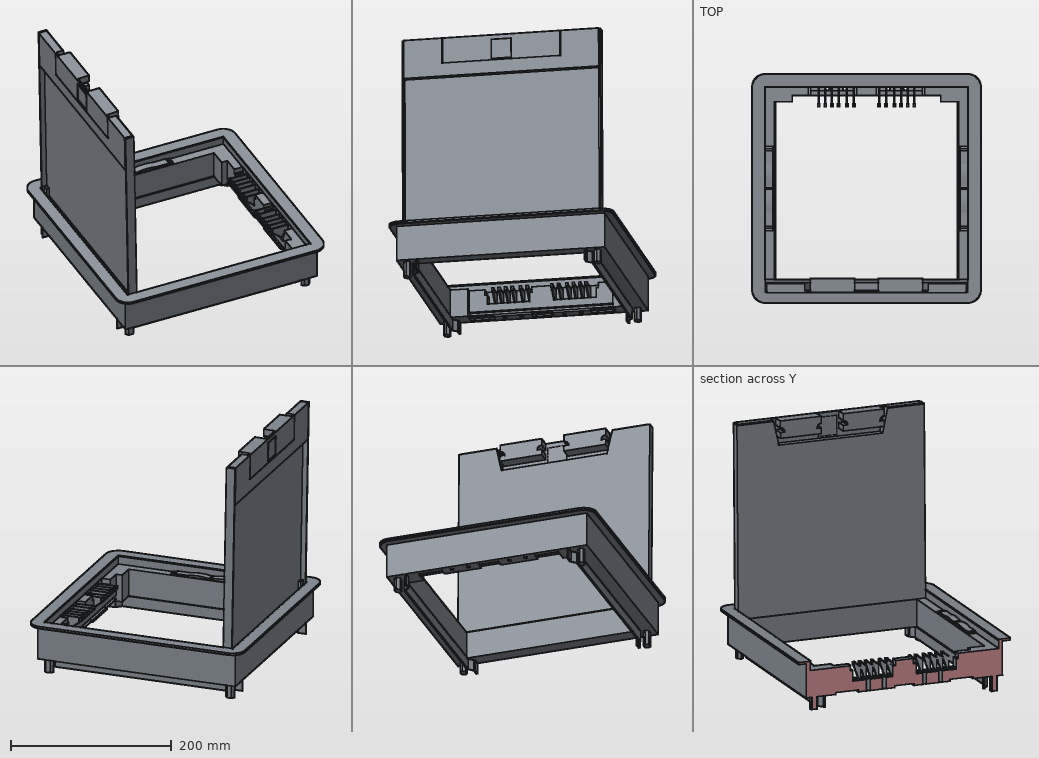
import cadquery as cq
import math

flange_width = 285.0
flange_height = 3.5
flange_bevel = 1.0
opening_half = 126.0
flange_radius = flange_width / 2 - opening_half
box_half = 132.0
box_bottom = -47.5
opening_lip = 1.5
wall_relief = 0.5

ledge_top = -12.0
ledge_side = 114.2
ledge_front = -113.5
ledge_back = 115.5
corner_block_back = 107.5
corner_block_side = 92.0
groove_top = -40.2
groove_bottom = -44.8
groove_depth = 4.5
lip_bottom = -45.0
drop_inner = 13.0
drop_outer = 61.5

pocket_inner = 12.3
pocket_outer = 72.2
pocket_step_width = 3.0
pocket_step_z = -18.7
pocket_floor = -30.7
pocket_back = 126.8
channel_front = 121.3
channel_depth = 1.5
hole_diameter = 4.5
hole_y = 124.0
hole_places = (27.0, 48.5)
fin_places = (15.7, 24.3, 34.7, 43.0, 51.3, 59.3)
fin_thickness = 1.2
fin_top = -14.5
fin_tip_y = 101.3
fin_tip_height = 3.7
fin_root_y = 116.7
tip_width = 2.8
tip_length = 4.0

pad_inner = 116.5
pad_height = 1.8
pad_half_length = 52.5
pad_ramp_end = 49.5
pad_ramp_start = 46.7
pad_end_height = 1.0
arch_near = 4.0
arch_far = 29.8
arch_rise = 1.2
slit_width = 1.5
slit_depth = 1.0

skirt_outer = 114.8
skirt_thickness = 1.8
skirt_bottom = -62.0
skirt_jog = 6.8
skirt_jog_start = 115.5
post_place = 121.0
post_half_width = 3.7
post_half_length = 5.8
post_half_flat = 2.92
left_post_bottom = -67.0
right_post_bottom = -63.5

lid_top = 240.0
lid_bottom = -11.7
lid_half = opening_half
lid_thickness = 12.0
lid_back_chamfer = 1.2
lid_lean = 1.0
lid_front = -125.3
rail_width = 2.0
rail_setback = 0.5
recess_drop = 49.5
recess_depth = 7.0
recess_rim = 2.5
stop_top = 2.5
stop_width = 7.5
stop_setback = 3.7

plate_half = 74.5
plate_height = 32.5
plate_thickness = 2.5
tab_inner = 14.7
tab_outer = 69.7
tab_depth = 17.5
tab_lip_height = 9.2
tab_height = 22.5
tab_notch = 5.8
plate_gap = 0.5
seat_top_half = 76.8
button_half = 12.5
button_top = 5.8
button_bottom = 30.7
button_depth = 1.0


def block(x0, x1, y0, y1, z0, z1):
    """Box between two corners."""
    return cq.Workplane("XY").box(x1 - x0, y1 - y0, z1 - z0, centered=False).translate((x0, y0, z0))


def mirrored_block(x0, x1, y0, y1, z0, z1):
    """Box and its mirror image across X = 0."""
    return block(x0, x1, y0, y1, z0, z1).union(block(-x1, -x0, y0, y1, z0, z1))


def frame_shell():
    """Rounded flange on a square box, with the lid opening and the ledge inside it."""
    flange_half = flange_width / 2
    flange = block(-flange_half, flange_half, -flange_half, flange_half, -flange_height, 0)
    flange = flange.edges("|Z").fillet(flange_radius).faces("<Z").edges().chamfer(flange_bevel)
    box = block(-box_half, box_half, -box_half, box_half, box_bottom, -flange_height)
    lid_seat = block(-opening_half, opening_half, -opening_half, opening_half, ledge_top, 0)
    wall_half = opening_half + wall_relief
    lid_seat = lid_seat.union(block(-wall_half, wall_half, -wall_half, wall_half, ledge_top, -opening_lip))
    window = block(-ledge_side, ledge_side, ledge_front, corner_block_back, box_bottom, ledge_top)
    bay = block(-corner_block_side, corner_block_side, 0, ledge_back, box_bottom, ledge_top)
    return flange.union(box).cut(lid_seat).cut(window).cut(bay)


def cut_ledge_underside(frame):
    """Groove along the latch-side ledge, with a lip and hanging blocks below it."""
    side = corner_block_side
    groove = block(-side, side, ledge_back, ledge_back + groove_depth, groove_bottom, groove_top)
    relief = block(-side, side, ledge_back, opening_half, box_bottom, lip_bottom)
    drops = mirrored_block(drop_inner, drop_outer, ledge_back, opening_half, box_bottom, lip_bottom)
    return frame.cut(groove).cut(relief.cut(drops))


def cut_pockets(frame):
    """Two stepped pockets in the latch-side ledge, open at the front, with drain holes."""
    floor_inner = pocket_inner + pocket_step_width
    floor_outer = pocket_outer - pocket_step_width
    upper = mirrored_block(pocket_inner, pocket_outer, ledge_back, pocket_back, pocket_step_z, ledge_top)
    lower = mirrored_block(floor_inner, floor_outer, ledge_back, pocket_back, pocket_floor, pocket_step_z)
    channel = mirrored_block(
        floor_inner, floor_outer, channel_front, pocket_back, pocket_floor - channel_depth, pocket_floor
    )
    hole_points = [(side * x, hole_y) for side in (-1, 1) for x in hole_places]
    holes = (
        cq.Workplane("XY", origin=(0, 0, box_bottom))
        .pushPoints(hole_points)
        .circle(hole_diameter / 2)
        .extrude(pocket_floor - box_bottom)
    )
    return frame.cut(upper).cut(lower).cut(channel).cut(holes)


def fin(x):
    """Thin bracket from the back of a pocket to a thicker tip over the opening."""
    floor = pocket_floor - channel_depth
    tip_bottom = fin_top - fin_tip_height
    web = (
        cq.Workplane("YZ", origin=(x - fin_thickness / 2, 0, 0))
        .moveTo(pocket_back, fin_top)
        .lineTo(fin_tip_y, fin_top)
        .lineTo(fin_tip_y, tip_bottom)
        .lineTo(fin_root_y, pocket_floor)
        .lineTo(channel_front, pocket_floor)
        .lineTo(channel_front, floor)
        .lineTo(pocket_back, floor)
        .close()
        .extrude(fin_thickness)
    )
    tip = block(x - tip_width / 2, x + tip_width / 2, fin_tip_y, fin_tip_y + tip_length, tip_bottom, fin_top)
    return web.union(tip)


def side_pad():
    """Raised pad on the left ledge: two arches between flats, with ramped ends."""
    arch_middle = (arch_near + arch_far) / 2
    wall_half = opening_half + wall_relief
    half = (
        cq.Workplane("YZ", origin=(-wall_half, 0, ledge_top))
        .moveTo(0, 0)
        .lineTo(pad_half_length, 0)
        .lineTo(pad_half_length, pad_end_height)
        .lineTo(pad_ramp_end, pad_end_height)
        .lineTo(pad_ramp_start, pad_height)
        .lineTo(arch_far, pad_height)
        .threePointArc((arch_middle, pad_height + arch_rise), (arch_near, pad_height))
        .lineTo(slit_width / 2, pad_height)
        .lineTo(slit_width / 2, pad_height - slit_depth)
        .lineTo(0, pad_height - slit_depth)
        .close()
        .extrude(wall_half - pad_inner)
    )
    return half.union(half.mirror("XZ"))


def skirt():
    """Thin wall under the left ledge that jogs inwards around both posts."""
    outer = -skirt_outer
    inner = outer + skirt_thickness
    jog_end = skirt_jog_start + skirt_jog
    outside = [(outer, skirt_jog_start), (outer + skirt_jog, jog_end), (outer + skirt_jog, box_half)]
    inside = [(inner + skirt_jog, box_half), (inner + skirt_jog, jog_end), (inner, skirt_jog_start)]
    half_outline = outside + inside
    other_half = [(x, -y) for x, y in reversed(half_outline)]
    return (
        cq.Workplane("XY", origin=(0, 0, skirt_bottom))
        .polyline(half_outline + other_half)
        .close()
        .extrude(box_bottom - skirt_bottom)
    )


def post(x, y, bottom):
    """Six-sided post under a box corner."""
    outline = [
        (-post_half_width, -post_half_flat),
        (0, -post_half_length),
        (post_half_width, -post_half_flat),
        (post_half_width, post_half_flat),
        (0, post_half_length),
        (-post_half_width, post_half_flat),
    ]
    return cq.Workplane("XY", origin=(x, y, bottom)).polyline(outline).close().extrude(box_bottom - bottom)


def make_frame():
    frame = cut_pockets(cut_ledge_underside(frame_shell()))
    for x in fin_places:
        frame = frame.union(fin(x)).union(fin(-x))
    for left_part in (side_pad(), skirt()):
        frame = frame.union(left_part).union(left_part.mirror("YZ"))
    for y in (-post_place, post_place):
        frame = frame.union(post(-post_place, y, left_post_bottom))
        frame = frame.union(post(post_place, y, right_post_bottom))
    return frame


lean = math.radians(lid_lean)
upright_top = (lid_top - tab_depth * math.sin(lean)) / math.cos(lean)


def lean_outwards(body):
    return body.rotate((0, 0, 0), (1, 0, 0), lid_lean).translate((0, lid_front, 0))


def make_lid():
    panel_half = lid_half - rail_width
    lid = block(-lid_half, lid_half, 0, lid_thickness, lid_bottom, upright_top)
    lid = lid.faces(">Y").edges(">Z").chamfer(lid_back_chamfer)

    lid = lid.cut(mirrored_block(panel_half, lid_half, 0, rail_setback, lid_bottom, upright_top))
    rail_top = upright_top - rail_setback
    lid = lid.cut(mirrored_block(panel_half, lid_half, 0, lid_thickness, rail_top, upright_top))

    recess_bottom = lid_bottom + recess_rim
    recess_top = upright_top - recess_drop
    recess = block(-panel_half, panel_half, 0, recess_depth, recess_bottom, recess_top)
    stop_inner = panel_half - stop_width
    stops = mirrored_block(stop_inner, panel_half, stop_setback, recess_depth, recess_bottom, stop_top)
    lid = lid.cut(recess.cut(stops))

    seat_bottom = upright_top - plate_height
    plate_seat_half = plate_half + plate_gap
    plate_seat = block(-plate_seat_half, plate_seat_half, 0, plate_thickness, seat_bottom, upright_top)
    tab_seat = (
        cq.Workplane("XZ", origin=(0, plate_thickness, 0))
        .moveTo(-tab_outer, seat_bottom)
        .lineTo(tab_outer, seat_bottom)
        .lineTo(seat_top_half, upright_top)
        .lineTo(-seat_top_half, upright_top)
        .close()
        .extrude(plate_thickness - lid_thickness)
    )
    return lean_outwards(lid.cut(plate_seat).cut(tab_seat))


def latch_tab():
    """Right-hand tab with a rounded notch under the lip at each end."""
    lip_bottom_z = upright_top - tab_lip_height
    notch_inner = tab_inner + tab_notch
    notch_outer = tab_outer - tab_notch
    notch_bottom = lip_bottom_z - tab_notch
    bend = tab_notch * (1 - math.sqrt(0.5))
    return (
        cq.Workplane("XZ", origin=(0, plate_thickness, 0))
        .moveTo(tab_inner, upright_top)
        .lineTo(tab_outer, upright_top)
        .lineTo(tab_outer, lip_bottom_z)
        .threePointArc((notch_outer + bend, lip_bottom_z - bend), (notch_outer, notch_bottom))
        .lineTo(tab_outer, notch_bottom)
        .lineTo(tab_outer, upright_top - tab_height)
        .lineTo(tab_inner, upright_top - tab_height)
        .lineTo(tab_inner, notch_bottom)
        .lineTo(notch_inner, notch_bottom)
        .threePointArc((notch_inner - bend, lip_bottom_z - bend), (tab_inner, lip_bottom_z))
        .close()
        .extrude(plate_thickness - tab_depth)
    )


def make_latch():
    plate = block(-plate_half, plate_half, 0, plate_thickness, upright_top - plate_height, upright_top)
    button = block(
        -button_half, button_half, 0, button_depth, upright_top - button_bottom, upright_top - button_top
    )
    tab = latch_tab()
    return lean_outwards(plate.cut(button).union(tab).union(tab.mirror("YZ")))


frame = make_frame()
lid = make_lid()
latch = make_latch()

result = cq.Compound.makeCompound([frame.val(), lid.val(), latch.val()])